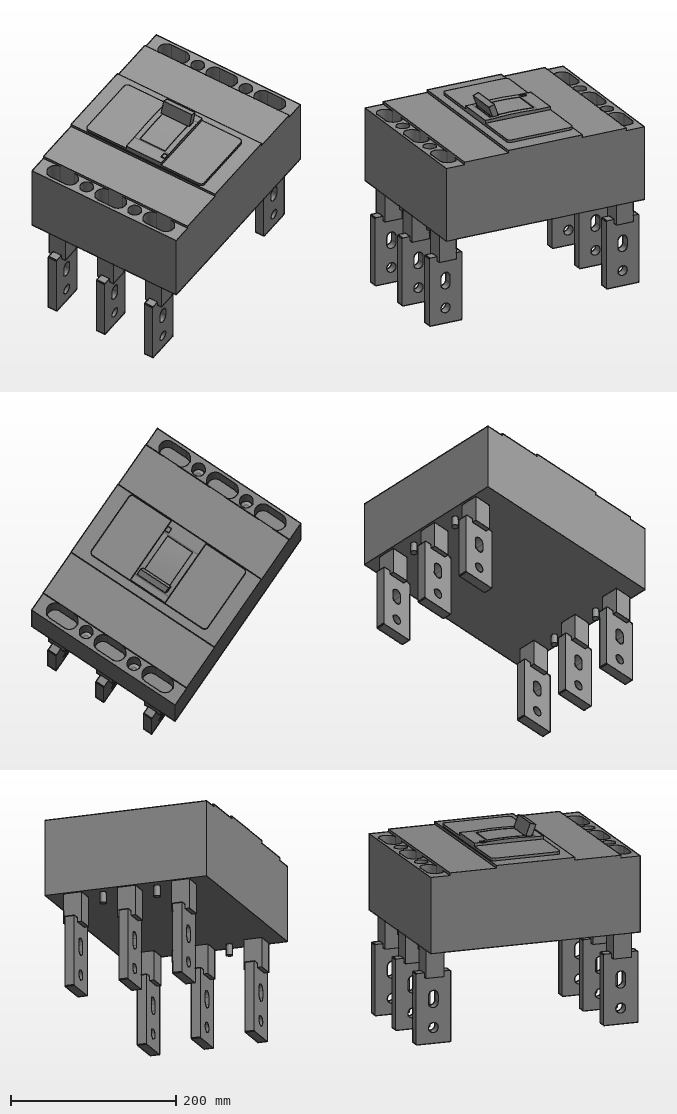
import cadquery as cq


CASE_WIDTH = 210.0
CASE_LENGTH = 272.0
CASE_HEIGHT = 96.0
STEP_RISE = 3.3
COVER_LENGTH = 222.0
CENTRE_LENGTH = 101.6
COVER_TOP = CASE_HEIGHT + STEP_RISE
CENTRE_TOP = COVER_TOP + STEP_RISE

PLATE_WIDTH = 170.0
PLATE_LENGTH = 89.5
PLATE_OFFSET_Y = -4.5
PLATE_CORNER_RADIUS = 5.0
BEZEL_WIDTH = 50.8
BEZEL_RISE = 3.8
PLATE_TOP = CENTRE_TOP + STEP_RISE
BEZEL_TOP = PLATE_TOP + BEZEL_RISE

CROWN_LENGTH = 63.0
CROWN_RISE = 1.2
CROWN_TOP = BEZEL_TOP + CROWN_RISE
WINDOW_WIDTH = 36.5
WINDOW_LENGTH = 60.0
WINDOW_DEPTH = 0.3

HANDLE_WIDTH = 41.0
HANDLE_THICKNESS = 7.7
HANDLE_TILT = 20.0
OVERALL_TOP = 126.18
HANDLE_TOP_FRONT_Y = 25.3
HANDLE_LENGTH = 20.0

NOTCH_WIDTH = 5.5
NOTCH_LENGTH = 6.5
NOTCH_DEPTH = 1.0
NOTCH_X = 22.1
NOTCH_Y = -37.0

POLE_PITCH = 70.0
ROW_Y = 121.5
POCKET_LENGTH = 42.0
POCKET_WIDTH = 21.0
POCKET_DEPTH = 40.0

POST_SIZE = 23.5
POST_LENGTH = 37.5
BLADE_THICKNESS = 12.0
BLADE_WIDTH = 45.0
BLADE_LENGTH = 90.0
BLADE_BOTTOM = -122.0
BLADE_CHAMFER = 1.0
BOLT_HOLE_DIAMETER = 12.5
BOLT_HOLE_HEIGHT = 20.0
BOLT_SLOT_LENGTH = 21.5
BOLT_SLOT_HEIGHT = 56.0

SCREW_HEAD_DIAMETER = 16.5
SCREW_HEAD_HEIGHT = 6.0
SCREW_HEAD_ROUND = 5.3
SCREW_SHANK_DIAMETER = 8.0
SCREW_PROJECTION = 13.5
SCREW_SEAT = CASE_HEIGHT - POCKET_DEPTH

POLE_CENTRES = [(column * POLE_PITCH, row * ROW_Y) for column in (-1, 0, 1) for row in (-1, 1)]
SCREW_CENTRES = [(side * POLE_PITCH / 2, row * ROW_Y) for side in (-1, 1) for row in (-1, 1)]


def block(width, length, bottom, top, y=0.0):
    """Box centred on x = 0, standing between two heights."""
    base = cq.Workplane("XY").workplane(offset=bottom).center(0, y)
    return base.rect(width, length).extrude(top - bottom)


def arched_strip(width, length, crest):
    """Strip standing on the plate, its top an arch that crests at y = 0."""
    half = length / 2
    spring = crest - CROWN_RISE
    outline = (
        cq.Workplane("YZ")
        .moveTo(-half, PLATE_TOP)
        .lineTo(-half, spring)
        .threePointArc((0, crest), (half, spring))
        .lineTo(half, PLATE_TOP)
        .close()
    )
    return outline.extrude(width / 2, both=True)


def make_case():
    case = block(CASE_WIDTH, CASE_LENGTH, 0, CASE_HEIGHT)
    case = case.union(block(CASE_WIDTH, COVER_LENGTH, CASE_HEIGHT, COVER_TOP))
    return case.union(block(CASE_WIDTH, CENTRE_LENGTH, COVER_TOP, CENTRE_TOP))


def make_bezel():
    bezel = block(BEZEL_WIDTH, PLATE_LENGTH, PLATE_TOP, BEZEL_TOP, PLATE_OFFSET_Y)
    bezel = bezel.union(arched_strip(BEZEL_WIDTH, CROWN_LENGTH, CROWN_TOP))
    window = block(WINDOW_WIDTH, WINDOW_LENGTH, PLATE_TOP, CROWN_TOP)
    floor = arched_strip(WINDOW_WIDTH, WINDOW_LENGTH, CROWN_TOP - WINDOW_DEPTH)
    bezel = bezel.cut(window).union(floor)
    notch = block(NOTCH_WIDTH, NOTCH_LENGTH, BEZEL_TOP - NOTCH_DEPTH, BEZEL_TOP, NOTCH_Y)
    return bezel.cut(notch.translate((NOTCH_X, 0, 0)))


def make_front():
    plate = block(PLATE_WIDTH, PLATE_LENGTH, CENTRE_TOP, PLATE_TOP, PLATE_OFFSET_Y)
    plate = plate.edges("|Z").fillet(PLATE_CORNER_RADIUS)
    return plate.union(make_bezel())


def make_handle():
    """Slab turned about its upper front edge, the highest line of the breaker."""
    slab = (
        cq.Workplane("XY")
        .box(HANDLE_WIDTH, HANDLE_THICKNESS, HANDLE_LENGTH, centered=(True, False, False))
        .translate((0, 0, -HANDLE_LENGTH))
    )
    slab = slab.rotate((0, 0, 0), (1, 0, 0), -HANDLE_TILT)
    return slab.translate((0, HANDLE_TOP_FRONT_Y, OVERALL_TOP))


def make_terminal():
    post = block(POST_SIZE, POST_SIZE, -POST_LENGTH, 0)
    blade = block(BLADE_THICKNESS, BLADE_WIDTH, BLADE_BOTTOM, BLADE_BOTTOM + BLADE_LENGTH)
    blade = blade.edges("|X").chamfer(BLADE_CHAMFER)
    hole = cq.Workplane("YZ").center(0, BLADE_BOTTOM + BOLT_HOLE_HEIGHT)
    hole = hole.circle(BOLT_HOLE_DIAMETER / 2).extrude(BLADE_THICKNESS, both=True)
    slot = cq.Workplane("YZ").center(0, BLADE_BOTTOM + BOLT_SLOT_HEIGHT)
    slot = slot.slot2D(BOLT_SLOT_LENGTH, BOLT_HOLE_DIAMETER, angle=90)
    slot = slot.extrude(BLADE_THICKNESS, both=True)
    blade = blade.cut(hole).cut(slot)
    return post.union(blade)


def make_pockets():
    sketch = cq.Workplane("XY").workplane(offset=SCREW_SEAT).pushPoints(POLE_CENTRES)
    return sketch.slot2D(POCKET_LENGTH, POCKET_WIDTH).extrude(POCKET_DEPTH)


def make_screw_holes():
    counterbores = cq.Workplane("XY").workplane(offset=SCREW_SEAT).pushPoints(SCREW_CENTRES)
    counterbores = counterbores.circle(SCREW_HEAD_DIAMETER / 2).extrude(POCKET_DEPTH)
    shanks = cq.Workplane("XY").pushPoints(SCREW_CENTRES)
    shanks = shanks.circle(SCREW_SHANK_DIAMETER / 2).extrude(SCREW_SEAT)
    return counterbores.union(shanks)


def make_screw():
    head = cq.Workplane("XY").workplane(offset=SCREW_SEAT)
    head = head.circle(SCREW_HEAD_DIAMETER / 2).extrude(SCREW_HEAD_HEIGHT)
    head = head.faces(">Z").edges().fillet(SCREW_HEAD_ROUND)
    shank = cq.Workplane("XY").workplane(offset=-SCREW_PROJECTION)
    shank = shank.circle(SCREW_SHANK_DIAMETER / 2).extrude(SCREW_PROJECTION + SCREW_SEAT)
    return head.union(shank)


housing = make_case().cut(make_pockets()).cut(make_screw_holes())
terminal = make_terminal()
for x, y in POLE_CENTRES:
    housing = housing.union(terminal.translate((x, y, 0)))
housing = housing.union(make_front()).union(make_handle())

screw = make_screw()
screws = [screw.translate((x, y, 0)) for x, y in SCREW_CENTRES]

result = cq.Compound.makeCompound([housing.val(), *[placed.val() for placed in screws]])